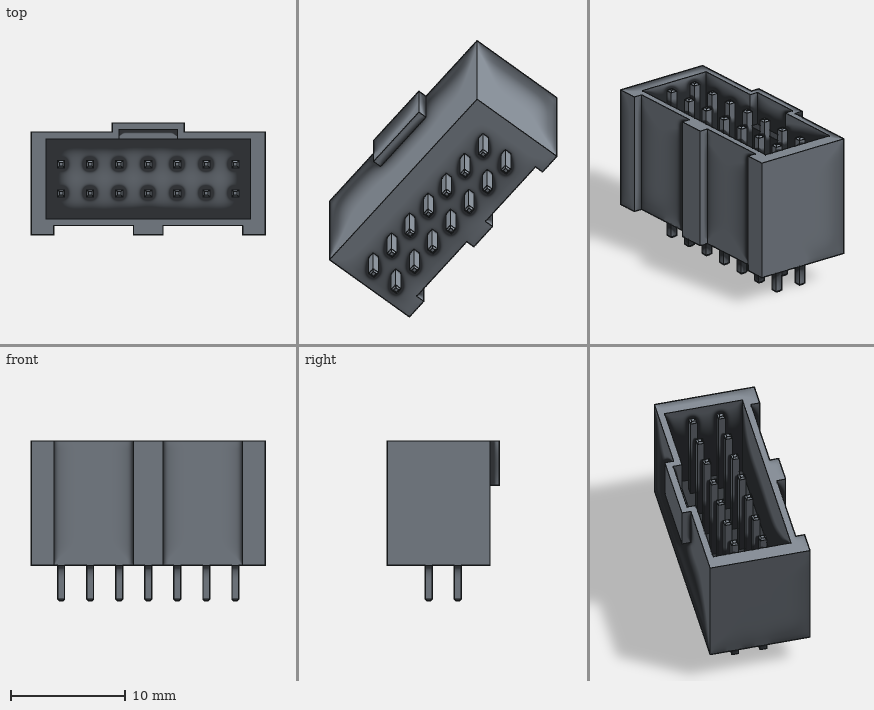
import cadquery as cq

length = 20.5
width = 8.2
height = 10.9

cavity_length = 17.9
cavity_width = 7.0
floor_thickness = 2.0

rib_depth = 0.8

key_length = 6.3
key_height = 3.9
key_slot_length = 5.1
key_wall = 0.6
key_slot_depth = 3.0

end_rib_length = 2.0
middle_rib_length = 2.6

pitch = 2.54
columns = 7
rows = 2
pin_side = 0.62
pin_tail = 3.1
pin_top = height
pin_chamfer = 0.15


def block(x_size, y_min, y_max, z_min, z_max, x_center=0):
    """Box centred on x_center and spanning the given Y and Z limits."""
    return (
        cq.Workplane("XY", origin=(x_center, (y_min + y_max) / 2, z_min))
        .rect(x_size, y_max - y_min)
        .extrude(z_max - z_min)
    )


def make_shroud():
    """Block with the -Y ribs and the key bulge, hollowed by the cavity and the key slot."""
    half_width = width / 2
    rib_front = -half_width - rib_depth
    key_back = half_width + rib_depth
    shroud = block(length, -half_width, half_width, 0, height)

    end_rib_x = (length - end_rib_length) / 2
    ribs = ((-end_rib_x, end_rib_length), (0, middle_rib_length), (end_rib_x, end_rib_length))
    for rib_x, rib_length in ribs:
        shroud = shroud.union(block(rib_length, rib_front, -half_width, 0, height, rib_x))

    shroud = shroud.union(block(key_length, half_width, key_back, height - key_height, height))
    cavity = block(cavity_length, -cavity_width / 2, cavity_width / 2, floor_thickness, height)
    key_slot = block(key_slot_length, 0, key_back - key_wall, height - key_slot_depth, height)
    return shroud.cut(cavity).cut(key_slot)


def make_pins():
    """Grid of square pins running through the floor, chamfered at both tips."""
    return (
        cq.Workplane("XY", origin=(0, 0, -pin_tail))
        .rarray(pitch, pitch, columns, rows)
        .rect(pin_side, pin_side)
        .extrude(pin_top + pin_tail)
        .faces("<Z or >Z")
        .chamfer(pin_chamfer)
    )


result = make_shroud().union(make_pins())